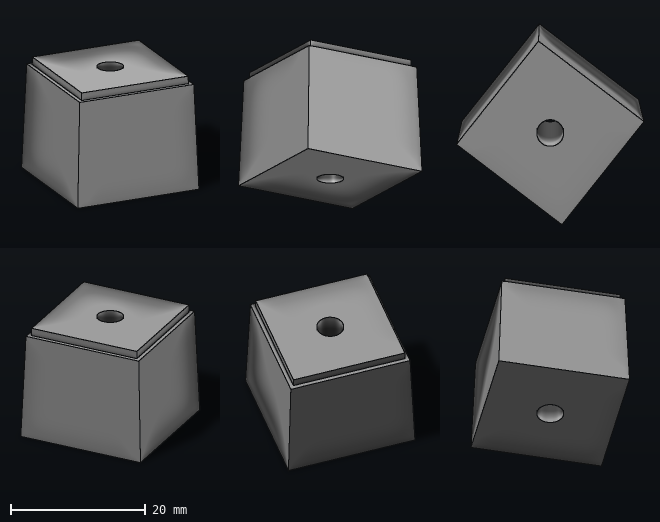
import cadquery as cq
import math

base_side = 19.91
total_height = 17.7
step_height = 1.2
step_side = 17.5
draft_angle = 2.0
hole_diameter = 4.0

body_height = total_height - step_height
body_top_side = base_side - 2 * body_height * math.tan(math.radians(draft_angle))

body = (
    cq.Workplane("XY")
    .rect(base_side, base_side)
    .workplane(offset=body_height)
    .rect(body_top_side, body_top_side)
    .loft(ruled=True)
)

step = (
    cq.Workplane("XY")
    .workplane(offset=body_height)
    .rect(step_side, step_side)
    .extrude(step_height)
)

hole = cq.Workplane("XY").circle(hole_diameter / 2).extrude(total_height)

result = body.union(step).cut(hole)